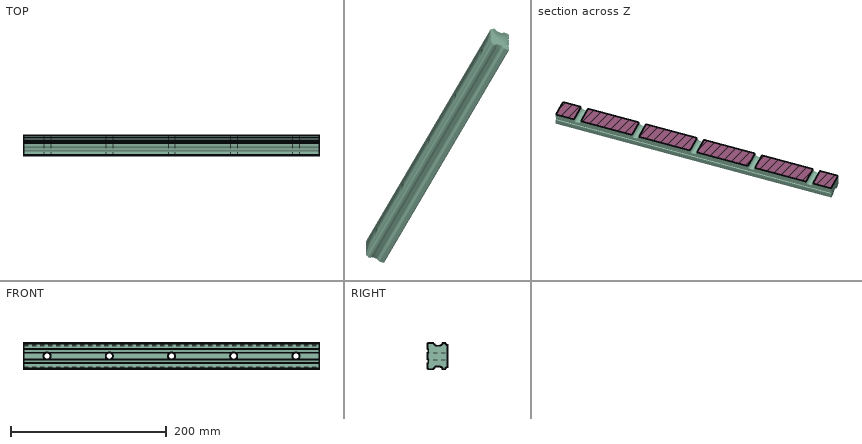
import cadquery as cq

length = 380.0
height = 26.0
width = 34.0

half_width = width / 2
top_y = height / 2
base_y = -height / 2

upper_track_depth = 3.1
upper_track_inset = 2.6
upper_track_sag = 0.8

waist_depth = 3.5
waist_floor_half_width = half_width - waist_depth
waist_start_y = 3.2
waist_end_y = -2.4
waist_foot_y = -5.8
waist_fillet = 1.5

lip_y = 7.1
lip_foot_y = 6.2
lip_drop = 0.3
lower_track_end_y = 4.0
lower_track_sag = 0.8
ramp_rise = 0.6

base_chamfer = 1.2
relief_inner = 4.0
relief_outer = 9.2
relief_depth = 1.0
relief_flank_run = 0.4

hole_diameter = 9.0
hole_count = 5
hole_pitch = 80.0


def make_half_rail():
    """Half of the rail on the +Z side of its centre plane, drawn as (y, z) points."""
    return (
        cq.Workplane("YZ")
        .moveTo(base_y, 0)
        .lineTo(base_y, relief_inner)
        .lineTo(base_y + relief_depth, relief_inner + relief_flank_run)
        .lineTo(base_y + relief_depth, relief_outer - relief_flank_run)
        .lineTo(base_y, relief_outer)
        .lineTo(base_y, half_width - base_chamfer)
        .lineTo(base_y + base_chamfer, half_width)
        .lineTo(waist_foot_y, half_width)
        .lineTo(waist_end_y, waist_floor_half_width)
        .lineTo(waist_start_y, waist_floor_half_width)
        .lineTo(lower_track_end_y, waist_floor_half_width + ramp_rise)
        .sagittaArc((lip_foot_y, half_width - lip_drop), -lower_track_sag)
        .lineTo(lip_y, half_width)
        .lineTo(top_y - upper_track_depth, half_width)
        .sagittaArc((top_y, half_width - upper_track_inset), -upper_track_sag)
        .lineTo(top_y, 0)
        .close()
        .extrude(length / 2, both=True)
    )


def round_waist(half_rail):
    """Round the two long corners of the sloping -Y wall of the waist groove."""
    corners = (
        (waist_foot_y, half_width),
        (waist_end_y, waist_floor_half_width),
    )
    for y, z in corners:
        corner_edge = cq.NearestToPointSelector((0, y, z))
        half_rail = half_rail.edges(corner_edge).fillet(waist_fillet)
    return half_rail


def make_holes():
    """Row of mounting holes along the centre line, through the full height."""
    return (
        cq.Workplane("XZ")
        .rarray(hole_pitch, 1, hole_count, 1)
        .circle(hole_diameter / 2)
        .extrude(height / 2, both=True)
    )


half_rail = round_waist(make_half_rail())
rail = half_rail.union(half_rail.mirror("XY"))
result = rail.cut(make_holes())